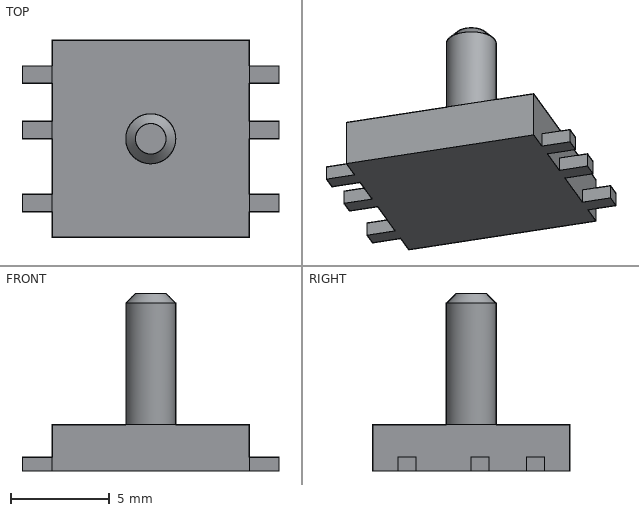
import cadquery as cq

overall_length = 13.0
body_side = 10.0
body_height = 2.35
total_height = 9.0
port_diameter = 2.54
port_chamfer = 0.5
lead_width = 0.9
lead_height = 0.7
lead_centers_y = (3.25, 0.44, -3.25)

body = cq.Workplane("XY").box(body_side, body_side, body_height, centered=(True, True, False))

port = (
    cq.Workplane("XY")
    .workplane(offset=body_height)
    .circle(port_diameter / 2)
    .extrude(total_height - body_height)
    .faces(">Z")
    .chamfer(port_chamfer)
)

leads = (
    cq.Workplane("XY")
    .pushPoints([(0, y) for y in lead_centers_y])
    .rect(overall_length, lead_width)
    .extrude(lead_height)
)

result = body.union(port).union(leads)